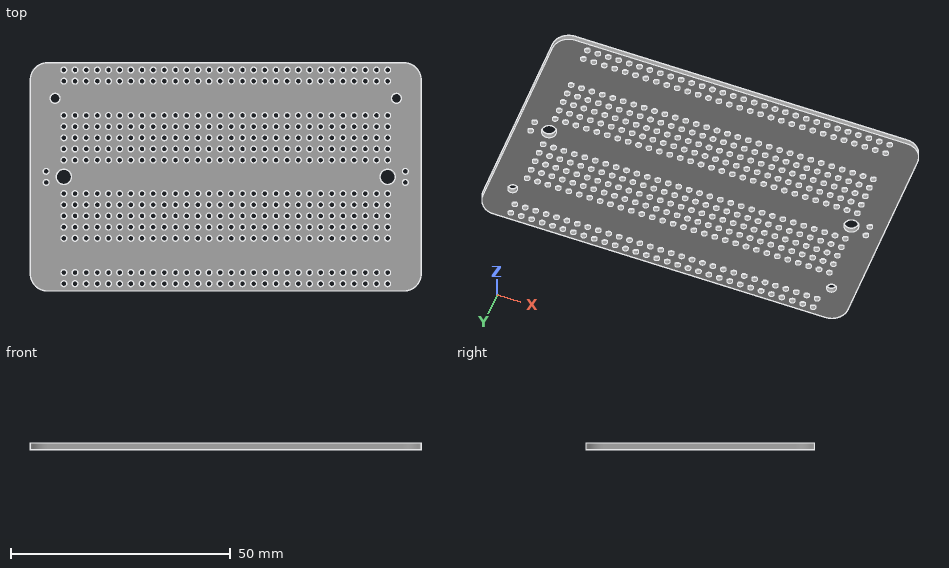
import cadquery as cq

board_length = 89.0
board_width = 52.0
board_thickness = 1.6
corner_radius = 4.0

pitch = 2.54
column_count = 30
contact_diameter = 1.27
inner_block_rows = 5
inner_block_first_y = 1.5 * pitch
rail_rows = 2
rail_first_y = 21.77

end_pair_x = 40.85
end_pair_y = pitch / 2

mounting_diameter = 3.4
mounting_x = (column_count - 1) * pitch / 2

corner_hole_diameter = 2.2
corner_hole_x = 38.83
corner_hole_y = 17.87


def make_board():
    board = cq.Workplane("XY").box(
        board_length, board_width, board_thickness, centered=(True, True, False)
    )
    return board.edges("|Z").fillet(corner_radius)


def contact_points():
    row_positions = [inner_block_first_y + row * pitch for row in range(inner_block_rows)]
    row_positions += [rail_first_y + row * pitch for row in range(rail_rows)]
    points = []
    for column in range(column_count):
        x = (column - (column_count - 1) / 2) * pitch
        for y in row_positions:
            points += [(x, y), (x, -y)]
    return points


def end_pair_points():
    return [(x, y) for x in (-end_pair_x, end_pair_x) for y in (-end_pair_y, end_pair_y)]


def left_and_right(x, y):
    return [(-x, y), (x, y)]


def hole_pins(points, diameter):
    return cq.Workplane("XY").pushPoints(points).circle(diameter / 2).extrude(board_thickness)


result = (
    make_board()
    .cut(hole_pins(contact_points() + end_pair_points(), contact_diameter))
    .cut(hole_pins(left_and_right(mounting_x, 0), mounting_diameter))
    .cut(hole_pins(left_and_right(corner_hole_x, corner_hole_y), corner_hole_diameter))
)